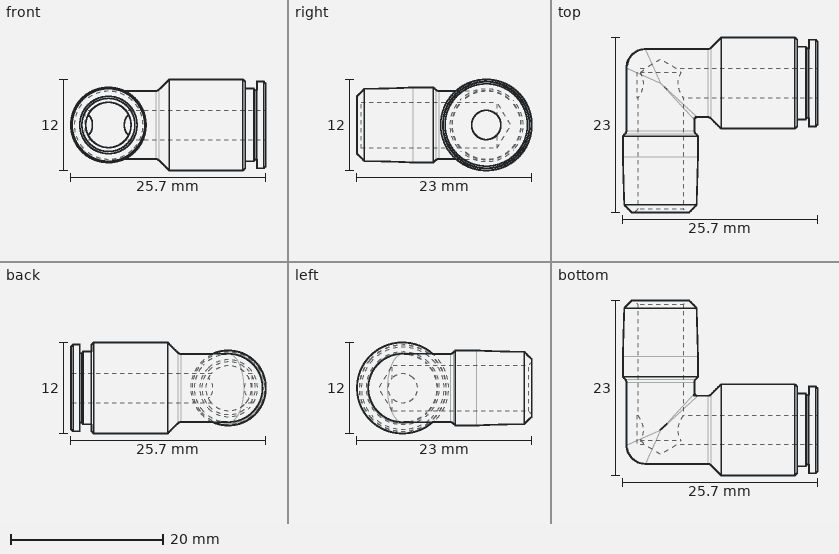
import cadquery as cq
import math

shapes = cq.occ_impl.shapes


leg_radius = 4.5
neck_fillet_radius = 0.55
shoulder_angle = math.radians(45)

body_radius = 6.0
body_start = 7.98
body_end = 18.0
body_chamfer = 0.33
sleeve_radius = 4.8
sleeve_end = 19.08
groove_radius = 4.57
groove_chamfer_end = 19.25
ring_start = 19.5
ring_radius = 5.72
ring_chamfer = 0.3
tube_leg_end = 20.7

thread_radius = 4.95
thread_start = 6.95
taper_start = 9.67
taper_end = 16.0
taper_end_radius = 4.77
thread_tip_radius = 3.77
thread_leg_end = 17.0

thread_bore_radius = 2.98
mouth_radius = 3.5
drill_tip_y = 3.18
drill_half_angle = math.radians(59)
tube_bore_radius = 1.92
tube_bore_start = -3.08

outer_corner_radius = 2.5
inner_corner_radius = 0.35
outer_center = leg_radius - outer_corner_radius
inner_center = leg_radius + inner_corner_radius
sections_per_corner = 9
trim_scale = 1.5


def neck_and_shoulder(profile, shoulder_end, shoulder_radius):
    """Continue an (axial, radial) profile along the leg, round the neck fillet and up the shoulder."""
    fillet_rise = neck_fillet_radius * (1 - math.cos(shoulder_angle))
    fillet_length = neck_fillet_radius * math.sin(shoulder_angle)
    shoulder_height = shoulder_radius - leg_radius - fillet_rise
    shoulder_start = shoulder_end - shoulder_height / math.tan(shoulder_angle)
    fillet_start = shoulder_start - fillet_length
    half_angle = shoulder_angle / 2
    fillet_middle = (
        fillet_start + neck_fillet_radius * math.sin(half_angle),
        leg_radius + neck_fillet_radius * (1 - math.cos(half_angle)),
    )
    return (
        profile
        .lineTo(fillet_start, leg_radius)
        .threePointArc(fillet_middle, (shoulder_start, leg_radius + fillet_rise))
        .lineTo(shoulder_end, shoulder_radius)
    )


def leg_profile():
    """Start a leg profile behind the origin, so that the corner planes can trim it."""
    return cq.Workplane("XY").moveTo(-leg_radius, 0).lineTo(-leg_radius, leg_radius)


def revolve_about_x(profile):
    return profile.close().revolve(360, (0, 0), (1, 0))


def along_minus_y(shape):
    return shape.rotate((0, 0, 0), (0, 0, 1), -90)


def tube_leg():
    profile = neck_and_shoulder(leg_profile(), body_start, body_radius)
    profile = (
        profile
        .lineTo(body_end - body_chamfer, body_radius)
        .lineTo(body_end, body_radius - body_chamfer)
        .lineTo(body_end, sleeve_radius)
        .lineTo(sleeve_end, sleeve_radius)
        .lineTo(groove_chamfer_end, groove_radius)
        .lineTo(ring_start, groove_radius)
        .lineTo(ring_start, ring_radius)
        .lineTo(tube_leg_end - ring_chamfer, ring_radius)
        .lineTo(tube_leg_end, ring_radius - ring_chamfer)
        .lineTo(tube_leg_end, 0)
    )
    return revolve_about_x(profile)


def thread_leg():
    profile = neck_and_shoulder(leg_profile(), thread_start, thread_radius)
    profile = (
        profile
        .lineTo(taper_start, thread_radius)
        .lineTo(taper_end, taper_end_radius)
        .lineTo(thread_leg_end, thread_tip_radius)
        .lineTo(thread_leg_end, 0)
    )
    return along_minus_y(revolve_about_x(profile))


def trim_region():
    """Block kept for the tube leg: everything on the +X side of its two corner seams."""
    outline = [
        (0, 0),
        (-trim_scale * outer_center, trim_scale * leg_radius),
        (tube_leg_end, trim_scale * leg_radius),
        (tube_leg_end, -trim_scale * leg_radius),
        (trim_scale * inner_center, -trim_scale * leg_radius),
    ]
    return cq.Workplane("XY").polyline(outline).close().extrude(body_radius, both=True)


def mirrored_across_corner(shape):
    """Swap the two legs' directions: (x, y) becomes (-y, -x)."""
    return along_minus_y(shape.mirror("XZ"))


def half_ellipse(x, y):
    """Half ellipse from pole to pole of the Z axis, through (x, y, 0), as tall as the leg."""
    plane = cq.Plane((0, 0, 0), xDir=(x, y, 0), normal=(y, -x, 0))
    return (
        cq.Workplane(plane)
        .ellipseArc(math.hypot(x, y), leg_radius, -90, 90, startAtCurrent=False)
        .val()
    )


def half_ellipse_face(arc):
    """Flat face between a half ellipse and the Z axis."""
    axis_line = cq.Edge.makeLine(arc.endPoint(), arc.startPoint())
    return cq.Face.makeFromWires(cq.Wire.assembleEdges([arc, axis_line]))


def corner_wedge(center, radius, start_angle, end_angle):
    """Fill from the Z axis out to a plan arc centred at (-center, center)."""
    angle_step = (end_angle - start_angle) / (sections_per_corner - 1)
    arcs = []
    for i in range(sections_per_corner):
        angle = math.radians(start_angle + i * angle_step)
        x = -center + radius * math.cos(angle)
        y = center + radius * math.sin(angle)
        arcs.append(half_ellipse(x, y))
    skin = shapes.loft(*arcs)
    sides = [half_ellipse_face(arc) for arc in (arcs[0], arcs[-1])]
    return cq.Workplane(shapes.solid(shapes.shell(skin, *sides)))


def thread_bore():
    """Bore up the threaded leg, with an entry chamfer and a conical drill tip."""
    mouth_depth = mouth_radius - thread_bore_radius
    tip_length = thread_bore_radius / math.tan(drill_half_angle)
    profile = (
        cq.Workplane("XY")
        .moveTo(-drill_tip_y, 0)
        .lineTo(tip_length - drill_tip_y, thread_bore_radius)
        .lineTo(thread_leg_end - mouth_depth, thread_bore_radius)
        .lineTo(thread_leg_end, mouth_radius)
        .lineTo(thread_leg_end, 0)
    )
    return along_minus_y(revolve_about_x(profile))


def tube_bore():
    """Cross bore through the tube leg, open at the +X end."""
    return (
        cq.Workplane("YZ")
        .workplane(offset=tube_bore_start)
        .circle(tube_bore_radius)
        .extrude(tube_leg_end - tube_bore_start)
    )


tube_region = trim_region()
thread_region = mirrored_across_corner(tube_region)

result = (
    tube_leg().intersect(tube_region)
    .union(thread_leg().intersect(thread_region))
    .union(corner_wedge(outer_center, outer_corner_radius, 90, 180))
    .union(corner_wedge(-inner_center, inner_corner_radius, 180, 90))
    .cut(thread_bore())
    .cut(tube_bore())
)